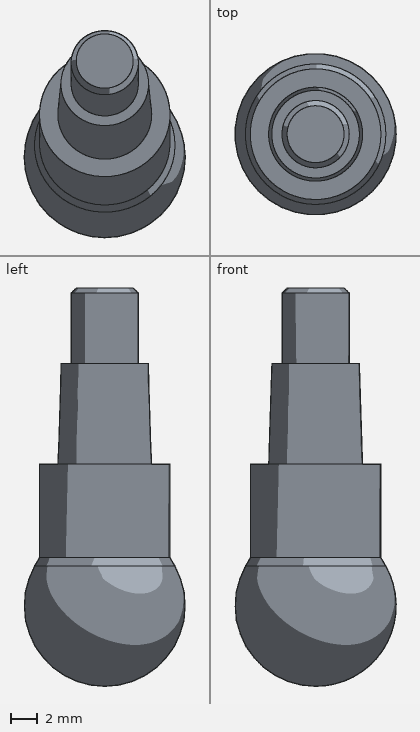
import cadquery as cq
import math

total_height = 29.6
ball_diameter = 12.0

split_height = 8.95
shoulder_base_height = 9.55
shoulder_height = 16.52
taper_top_height = 24.0

shoulder_diameter = 9.7
taper_base_diameter = 7.0
taper_top_diameter = 6.5
tip_diameter = 5.0
tip_chamfer = 0.38

ball_radius = ball_diameter / 2
ball_center_height = ball_radius
shoulder_radius = shoulder_diameter / 2

split_radius = math.sqrt(ball_radius**2 - (split_height - ball_center_height) ** 2)


def make_ball():
    """Ball with a flat top that the stud stands on."""
    return (
        cq.Workplane("XZ")
        .lineTo(0, split_height)
        .lineTo(split_radius, split_height)
        .threePointArc((ball_radius, ball_center_height), (0, 0))
        .close()
        .revolve(360, (0, 0), (0, 1))
    )


def make_stud():
    """Stud with a conical foot, a cylindrical shoulder, a taper and a chamfered tip."""
    taper_base_radius = taper_base_diameter / 2
    taper_top_radius = taper_top_diameter / 2
    tip_radius = tip_diameter / 2
    return (
        cq.Workplane("XZ")
        .moveTo(0, split_height)
        .lineTo(split_radius, split_height)
        .lineTo(shoulder_radius, shoulder_base_height)
        .lineTo(shoulder_radius, shoulder_height)
        .lineTo(taper_base_radius, shoulder_height)
        .lineTo(taper_top_radius, taper_top_height)
        .lineTo(tip_radius, taper_top_height)
        .lineTo(tip_radius, total_height - tip_chamfer)
        .lineTo(tip_radius - tip_chamfer, total_height)
        .lineTo(0, total_height)
        .close()
        .revolve(360, (0, 0), (0, 1))
    )


ball = make_ball()
stud = make_stud()

result = cq.Compound.makeCompound([ball.val(), stud.val()])